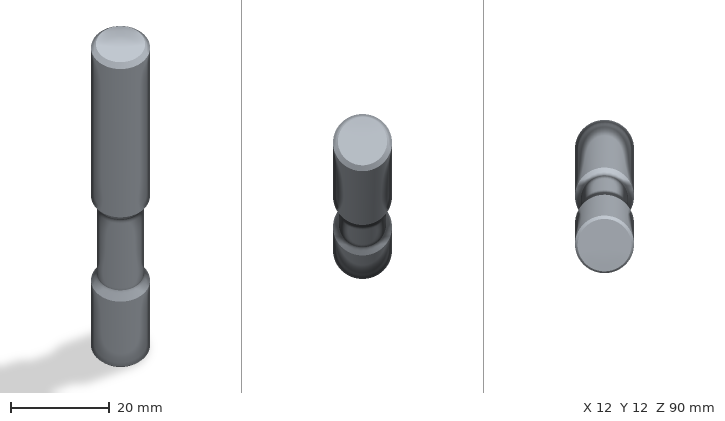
import cadquery as cq

length = 90.0
body_diameter = 12.0
body_radius = body_diameter / 2
neck_radius = 4.8

neck_bottom = 20.0
neck_top = 45.0
taper_height = 2.1

top_chamfer_width = 1.0
top_chamfer_height = 1.0
bottom_chamfer_width = 0.5
bottom_chamfer_height = 0.7

profile = (
    cq.Workplane("XZ")
    .moveTo(0, 0)
    .lineTo(body_radius - bottom_chamfer_width, 0)
    .lineTo(body_radius, bottom_chamfer_height)
    .lineTo(body_radius, neck_bottom)
    .lineTo(neck_radius, neck_bottom + taper_height)
    .lineTo(neck_radius, neck_top - taper_height)
    .lineTo(body_radius, neck_top)
    .lineTo(body_radius, length - top_chamfer_height)
    .lineTo(body_radius - top_chamfer_width, length)
    .lineTo(0, length)
    .close()
)

result = profile.revolve(360, (0, 0, 0), (0, 1, 0))